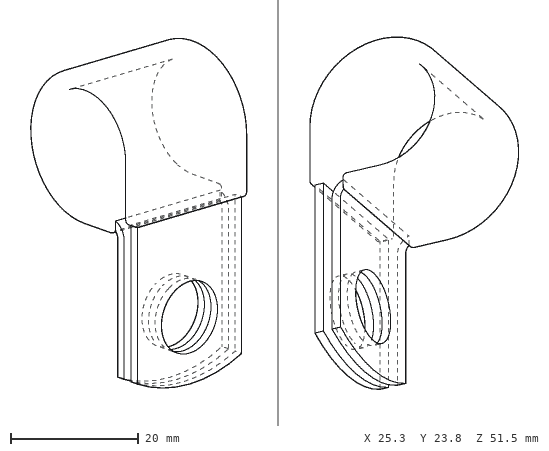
import cadquery as cq
import math


LOOP_BORE = 19.05
CUSHION_WALL = 0.79375
CUSHION_WIDTH = 23.8125
STRAP_THICKNESS = 1.524
TAB_GAP = 1.524
BEND_INNER_RADIUS = STRAP_THICKNESS
UPRIGHT_LEG_LENGTH = 10.27
FLAT_LEG_LENGTH = 6.75
TAB_DEPTH = 38.8635
TAB_TIP_RADIUS = 25.4
HOLE_DIAMETER = 11.90625
HOLE_TO_TIP = 11.1125

LOOP_MID_ANGLE = 135
BEND_MID_ANGLE = 45

cushion_inner = LOOP_BORE / 2
strap_inner = cushion_inner + CUSHION_WALL
strap_outer = strap_inner + STRAP_THICKNESS
cushion_outer = strap_outer + CUSHION_WALL

strap_width = CUSHION_WIDTH - 2 * CUSHION_WALL
bent_tab_outer = strap_inner - TAB_GAP
bent_tab_inner = bent_tab_outer - STRAP_THICKNESS
bend_outer_radius = BEND_INNER_RADIUS + STRAP_THICKNESS
bend_center_x = bent_tab_inner - BEND_INNER_RADIUS
bend_center_z = -strap_outer - BEND_INNER_RADIUS


def point_on_arc(center_x, center_z, radius, angle):
    """Point at an angle in degrees, measured from +X towards +Z."""
    turn = math.radians(angle)
    return (center_x + radius * math.cos(turn), center_z + radius * math.sin(turn))


def extrude_centered(outline, width):
    """Solid from an XZ outline, spread equally to both sides of Y = 0."""
    return outline.close().extrude(width / 2, both=True)


def make_cushion():
    """Three-quarter loop with two straight legs, rounded on all its rims."""
    outline = (
        cq.Workplane("XZ")
        .moveTo(cushion_outer, -UPRIGHT_LEG_LENGTH)
        .lineTo(cushion_outer, 0)
        .threePointArc(point_on_arc(0, 0, cushion_outer, LOOP_MID_ANGLE), (0, -cushion_outer))
        .lineTo(FLAT_LEG_LENGTH, -cushion_outer)
        .lineTo(FLAT_LEG_LENGTH, -cushion_inner)
        .lineTo(0, -cushion_inner)
        .threePointArc(point_on_arc(0, 0, cushion_inner, LOOP_MID_ANGLE), (cushion_inner, 0))
        .lineTo(cushion_inner, -UPRIGHT_LEG_LENGTH)
    )
    cushion = extrude_centered(outline, CUSHION_WIDTH)

    leg_middle = (cushion_inner + cushion_outer) / 2
    upright_end = cq.selectors.NearestToPointSelector((leg_middle, 0, -UPRIGHT_LEG_LENGTH))
    flat_end = cq.selectors.NearestToPointSelector((FLAT_LEG_LENGTH, 0, -leg_middle))
    sides = cq.selectors.StringSyntaxSelector("<Y or >Y")
    return cushion.faces(sides + upright_end + flat_end).edges().fillet(CUSHION_WALL)


def make_bent_strap():
    """Constant-thickness strap: straight tab, loop, then a bend down into the second tab."""
    outline = (
        cq.Workplane("XZ")
        .moveTo(strap_outer, -TAB_DEPTH)
        .lineTo(strap_outer, 0)
        .threePointArc(point_on_arc(0, 0, strap_outer, LOOP_MID_ANGLE), (0, -strap_outer))
        .lineTo(bend_center_x, -strap_outer)
        .threePointArc(
            point_on_arc(bend_center_x, bend_center_z, BEND_INNER_RADIUS, BEND_MID_ANGLE),
            (bent_tab_inner, bend_center_z),
        )
        .lineTo(bent_tab_inner, -TAB_DEPTH)
        .lineTo(bent_tab_outer, -TAB_DEPTH)
        .lineTo(bent_tab_outer, bend_center_z)
        .threePointArc(
            point_on_arc(bend_center_x, bend_center_z, bend_outer_radius, BEND_MID_ANGLE),
            (bend_center_x, -strap_inner),
        )
        .lineTo(0, -strap_inner)
        .threePointArc(point_on_arc(0, 0, strap_inner, LOOP_MID_ANGLE), (strap_inner, 0))
        .lineTo(strap_inner, -TAB_DEPTH)
    )
    return extrude_centered(outline, strap_width)


def make_tab_profile():
    """Strap silhouette along X: straight sides, a shallow round tip and the bolt hole."""
    half_width = strap_width / 2
    tip_rise = TAB_TIP_RADIUS - math.sqrt(TAB_TIP_RADIUS**2 - half_width**2)
    corner_z = tip_rise - TAB_DEPTH
    profile = (
        cq.Workplane("YZ")
        .moveTo(-half_width, cushion_outer)
        .lineTo(-half_width, corner_z)
        .threePointArc((0, -TAB_DEPTH), (half_width, corner_z))
        .lineTo(half_width, cushion_outer)
        .close()
        .extrude(cushion_outer, both=True)
    )
    hole = (
        cq.Workplane("YZ")
        .center(0, HOLE_TO_TIP - TAB_DEPTH)
        .circle(HOLE_DIAMETER / 2)
        .extrude(cushion_outer, both=True)
    )
    return profile.cut(hole)


strap = make_bent_strap().intersect(make_tab_profile())
result = make_cushion().union(strap)